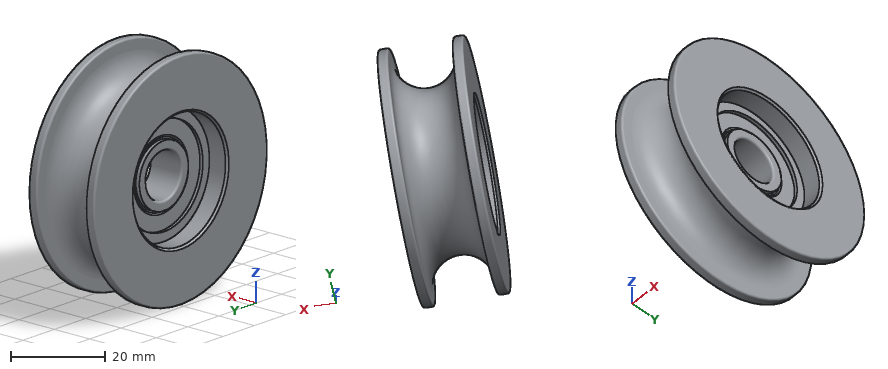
import cadquery as cq


wheel_radius = 27.8
wheel_width = 18.5
flange_thickness = 2.35
groove_bottom_radius = 18.0
rim_fillet = 0.5
hub_mouth_chamfer = 0.5

bearing_radius = 14.85
bearing_recess = 4.8
outer_race_fillet = 0.5
outer_race_inner_radius = 12.45
shield_recess = 0.85
shield_inner_radius = 8.75
shield_slope_depth = 0.15
shield_slope_inner_radius = 8.3
inner_race_radius = 7.85
bore_radius = 5.55
bore_fillet = 0.55

half_width = wheel_width / 2
groove_radius = half_width - flange_thickness
groove_centre_radius = groove_bottom_radius + groove_radius
bearing_width = wheel_width - 2 * bearing_recess


def tube(outer_radius, inner_radius, width):
    """Tube along X, centred on the origin."""
    return (
        cq.Workplane("YZ", origin=(-width / 2, 0, 0))
        .circle(outer_radius)
        .circle(inner_radius)
        .extrude(width)
    )


def rim_edges(body, radius):
    """Full-circle edges of the given radius."""
    tolerance = 0.005
    return body.edges("%CIRCLE").filter(lambda edge: abs(edge.radius() - radius) < tolerance)


def make_groove():
    """Ring that cuts the round-bottomed rope groove."""
    outside = wheel_radius + groove_radius
    return (
        cq.Workplane("XY")
        .moveTo(-groove_radius, outside)
        .lineTo(-groove_radius, groove_centre_radius)
        .threePointArc((0, groove_bottom_radius), (groove_radius, groove_centre_radius))
        .lineTo(groove_radius, outside)
        .close()
        .revolve(360, (0, 0, 0), (1, 0, 0))
    )


def make_wheel():
    body = tube(wheel_radius, bearing_radius, wheel_width).cut(make_groove())
    body = rim_edges(body, wheel_radius).fillet(rim_fillet)
    return rim_edges(body, bearing_radius).chamfer(hub_mouth_chamfer)


def make_shields():
    """Ring between the races, whose faces slope down to a flat seat beside the inner race."""
    shield_x = bearing_width / 2 - shield_recess
    seat_x = shield_x - shield_slope_depth
    return (
        cq.Workplane("XY")
        .moveTo(0, inner_race_radius)
        .lineTo(seat_x, inner_race_radius)
        .lineTo(seat_x, shield_slope_inner_radius)
        .lineTo(shield_x, shield_inner_radius)
        .lineTo(shield_x, outer_race_inner_radius)
        .lineTo(0, outer_race_inner_radius)
        .mirrorY()
        .revolve(360, (0, 0, 0), (1, 0, 0))
    )


def make_bearing():
    """Outer race, shields and inner race as one solid of revolution."""
    outer_race = tube(bearing_radius, outer_race_inner_radius, bearing_width)
    outer_race = rim_edges(outer_race, bearing_radius).fillet(outer_race_fillet)

    inner_race = tube(inner_race_radius, bore_radius, bearing_width)
    inner_race = rim_edges(inner_race, bore_radius).fillet(bore_fillet)

    shields = make_shields()
    return outer_race.union(shields).union(inner_race)


wheel = make_wheel()
bearing = make_bearing()
result = cq.Compound.makeCompound([wheel.val(), bearing.val()])